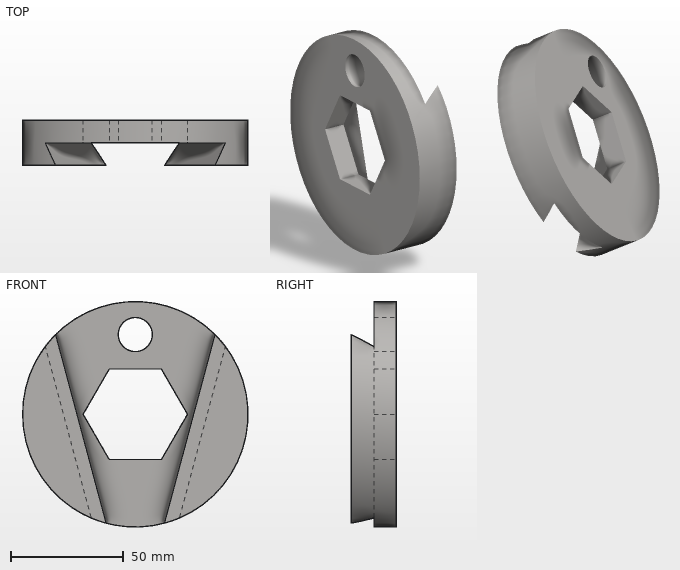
import cadquery as cq
import math

disc_radius = 50.0
disc_thickness = 20.0
slot_depth = 10.0
slot_half_taper = 15.0
slot_mouth_offset = 25.0
undercut_angle = 30.0
hex_across_flats = 40.0
hole_diameter = 15.0
hole_height = disc_radius * math.sin(math.radians(45))

hex_across_corners = hex_across_flats / math.cos(math.radians(30))
slot_reach = 1.5 * disc_radius
undercut = slot_depth * math.tan(math.radians(undercut_angle))
undercut_offset = slot_mouth_offset + undercut


def front_plane(y):
    """XZ plane at the given Y, with extrusions running toward +Y."""
    return cq.Workplane(cq.Plane(origin=(0, y, 0), xDir=(-1, 0, 0), normal=(0, 1, 0)))


def wall_x(offset, z):
    """Half width of the slot at height z for a wall line at the given offset from the axis."""
    taper = math.radians(slot_half_taper)
    return (offset + z * math.sin(taper)) / math.cos(taper)


def slot_outline(workplane, offset):
    """Tapered slot outline, symmetric about the Z axis and wider at the top."""
    top = wall_x(offset, slot_reach)
    bottom = wall_x(offset, -slot_reach)
    return workplane.polyline(
        [(-top, slot_reach), (top, slot_reach), (bottom, -slot_reach), (-bottom, -slot_reach)]
    ).close()


def dovetail_slot():
    """Slot cut into the front face, widening with depth and tapering downward."""
    mouth = slot_outline(front_plane(0), slot_mouth_offset)
    floor = slot_outline(mouth.workplane(offset=slot_depth), undercut_offset)
    return floor.loft(ruled=True, combine=True)


def hex_opening():
    """Through opening with flats facing up and down."""
    return front_plane(0).polygon(6, hex_across_corners).extrude(disc_thickness)


def round_hole():
    """Through hole above the hexagonal opening."""
    return front_plane(0).center(0, hole_height).circle(hole_diameter / 2).extrude(disc_thickness)


disc = front_plane(0).circle(disc_radius).extrude(disc_thickness)
result = disc.cut(dovetail_slot()).cut(hex_opening()).cut(round_hole())